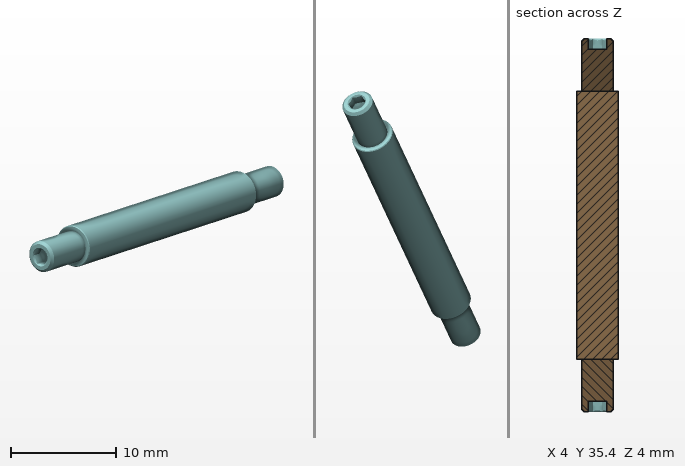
import cadquery as cq
import math

total_length = 35.4
stud_length = 5.0
rod_length = total_length - 2 * stud_length

rod_diameter = 4.0
rod_chamfer = 0.07

stud_diameter = 3.0
stud_tip_diameter = 2.5
stud_chamfer = (stud_diameter - stud_tip_diameter) / 2

socket_across_flats = 1.5
socket_across_corners = socket_across_flats / math.cos(math.radians(30))
socket_depth = 1.0
countersink_diameter = 1.8
countersink_depth = (countersink_diameter - socket_across_flats) / 2


def make_rod():
    """Central rod with a small chamfer at both ends."""
    return (
        cq.Workplane("XZ", origin=(0, rod_length / 2, 0))
        .circle(rod_diameter / 2)
        .extrude(rod_length)
        .edges()
        .chamfer(rod_chamfer)
    )


def make_socket():
    """Cutter for the hexagon socket, with its mouth at the -Y end of the part."""
    mouth = cq.Workplane("XZ", origin=(0, -total_length / 2, 0))
    hexagon = mouth.polygon(6, socket_across_corners).extrude(-socket_depth)
    countersink = (
        mouth.circle(countersink_diameter / 2)
        .workplane(offset=-countersink_depth)
        .circle(socket_across_flats / 2)
        .loft()
    )
    return hexagon.union(countersink)


def make_stud():
    """Stud standing on the -Y end of the rod, with a chamfered tip and a socket."""
    return (
        cq.Workplane("XZ", origin=(0, -rod_length / 2, 0))
        .circle(stud_diameter / 2)
        .extrude(stud_length)
        .faces("<Y")
        .chamfer(stud_chamfer)
        .cut(make_socket())
    )


rod = make_rod()

studs = []
for angle in (0, 180):
    studs.append(make_stud().rotate((0, 0, 0), (0, 0, 1), angle))

result = cq.Compound.makeCompound([rod.val(), *[stud.val() for stud in studs]])